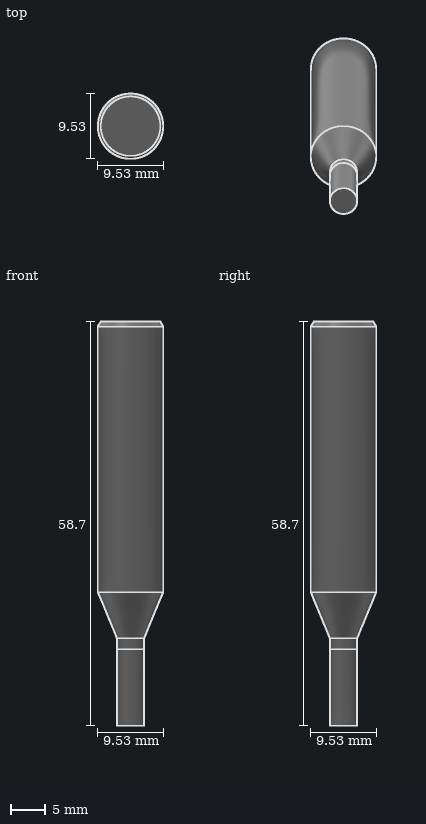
import cadquery as cq

total_length = 58.7
shank_radius = 9.525 / 2

tip_radius = 1.99
back_taper = 0.01
cutter_length = 11.1
cutter_top_radius = tip_radius - back_taper

neck_radius = tip_radius
neck_length = 1.6
cone_length = 6.7
neck_top = cutter_length + neck_length
cone_top = neck_top + cone_length

chamfer_height = 0.76
chamfer_inset = 0.44
chamfer_bottom = total_length - chamfer_height


def turn(outline):
    """Turn an outline of (radius, height) points into a solid about the Z axis."""
    return cq.Workplane("YZ").polyline(outline).close().revolve(360, (0, 0), (0, 1))


def make_cutter():
    """Slightly back-tapered round envelope of the cutting end."""
    return turn([
        (0, 0),
        (tip_radius, 0),
        (cutter_top_radius, cutter_length),
        (0, cutter_length),
    ])


def make_shank():
    """Neck, cone and chamfered shank as one turned solid on top of the cutter."""
    return turn([
        (0, cutter_length),
        (neck_radius, cutter_length),
        (neck_radius, neck_top),
        (shank_radius, cone_top),
        (shank_radius, chamfer_bottom),
        (shank_radius - chamfer_inset, total_length),
        (0, total_length),
    ])


cutter = make_cutter()
shank = make_shank()

result = cq.Compound.makeCompound([cutter.val(), shank.val()])